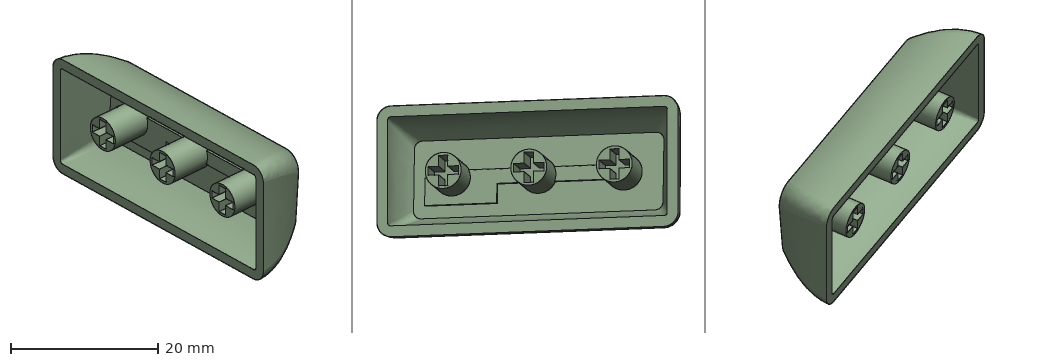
import cadquery as cq
import math

WIDTH = 41.9
HEIGHT = 18.1
DEPTH = 9.3
TOP_TILT = 3.9
TOP_SHRINK = 2.72
RIM_CORNER = 2.0
TOP_CORNER = 2.7

WALL = 1.5
FLOOR_SHRINK = 2.1
MOUTH_CORNER = 0.4
FLOOR_CORNER = 1.1

STEM_COUNT = 3
STEM_DIAMETER = 5.0
STEM_PITCH = 11.9
STEM_FRONT = 0.85
CROSS_LENGTH = 4.2
CROSS_BAR_X = 1.17
CROSS_BAR_Z = 1.25
CROSS_DEPTH = 4.2

RUNNER_THICKNESS = 0.5
RUNNER_TOP = 1.1
RUNNER_BOTTOM = -0.95
BLOCK_LEFT = -15.7
BLOCK_RIGHT = -5.7
BLOCK_TOP = 0.15
BLOCK_BOTTOM = -3.7

LOFT_STEPS = 4
TILT_SLOPE = math.tan(math.radians(TOP_TILT))
TOP_CENTRE = DEPTH - TILT_SLOPE * (HEIGHT / 2 - TOP_SHRINK)
FLOOR_CENTRE = TOP_CENTRE - WALL
STEM_SPAN = (STEM_COUNT - 1) * STEM_PITCH
STEM_CENTRES = [(i * STEM_PITCH - STEM_SPAN / 2, 0) for i in range(STEM_COUNT)]


def leaning_plane(centre_y, slope):
    """Plane facing the open rim that moves by slope in Y for each unit of Z."""
    return cq.Plane(origin=(0, centre_y, 0), xDir=(1, 0, 0), normal=(0, -1, slope))


def bulged_solid(width, height, end_centre, end_shrink, start_corner, end_corner):
    """Loft whose sides leave the rim square and curve inward to the leaning end face."""
    sections = []
    for step in range(LOFT_STEPS + 1):
        fraction = step / LOFT_STEPS
        inset = end_shrink * fraction ** 2
        corner = start_corner + (end_corner - start_corner) * fraction
        plane = leaning_plane(end_centre * fraction, TILT_SLOPE * fraction)
        outline = cq.Sketch().rect(width - 2 * inset, height - 2 * inset).vertices().fillet(corner)
        sections.append(outline.reset().faces().val().outerWire().moved(plane.location))
    return cq.Workplane(cq.Solid.makeLoft(sections))


def floor_slab(thickness):
    """Oversized slab on the cavity side of the leaning floor."""
    floor = leaning_plane(FLOOR_CENTRE, TILT_SLOPE)
    return cq.Workplane(floor).rect(2 * WIDTH, 2 * HEIGHT).extrude(thickness)


def bar(left, right, bottom, top):
    """Rectangular bar along the full depth, between the given X and Z limits."""
    centre = ((left + right) / 2, (bottom + top) / 2)
    return cq.Workplane("XZ").center(*centre).rect(right - left, top - bottom).extrude(-DEPTH)


def make_runner_and_block():
    """Runner behind the stems joined to the block at its left end."""
    runner = bar(-STEM_SPAN / 2, STEM_SPAN / 2, RUNNER_BOTTOM, RUNNER_TOP)
    block = bar(BLOCK_LEFT, BLOCK_RIGHT, BLOCK_BOTTOM, BLOCK_TOP)
    return runner.union(block).intersect(floor_slab(RUNNER_THICKNESS))


def make_stems():
    """Round posts from just inside the rim down to the cavity floor."""
    posts = (
        cq.Workplane("XZ", origin=(0, STEM_FRONT, 0))
        .pushPoints(STEM_CENTRES)
        .circle(STEM_DIAMETER / 2)
        .extrude(-DEPTH)
    )
    return posts.intersect(floor_slab(DEPTH))


def make_cross_sockets():
    """Cross-shaped sockets in the stem ends."""
    ends = cq.Workplane("XZ", origin=(0, STEM_FRONT, 0)).pushPoints(STEM_CENTRES)
    bars_x = ends.rect(CROSS_LENGTH, CROSS_BAR_X).extrude(-CROSS_DEPTH)
    bars_z = ends.rect(CROSS_BAR_Z, CROSS_LENGTH).extrude(-CROSS_DEPTH)
    return bars_x.union(bars_z)


def make_insert():
    """Stems, runner and block in one piece."""
    return make_runner_and_block().union(make_stems()).cut(make_cross_sockets())


def make_shell():
    """Hollow cap whose flat floor carries the insert."""
    outside = bulged_solid(WIDTH, HEIGHT, TOP_CENTRE, TOP_SHRINK, RIM_CORNER, TOP_CORNER)
    cavity = bulged_solid(
        WIDTH - 2 * WALL, HEIGHT - 2 * WALL, FLOOR_CENTRE, FLOOR_SHRINK, MOUTH_CORNER, FLOOR_CORNER
    )
    return outside.cut(cavity)


shell = make_shell()
insert = make_insert()
result = cq.Compound.makeCompound([shell.solids().val(), insert.solids().val()])